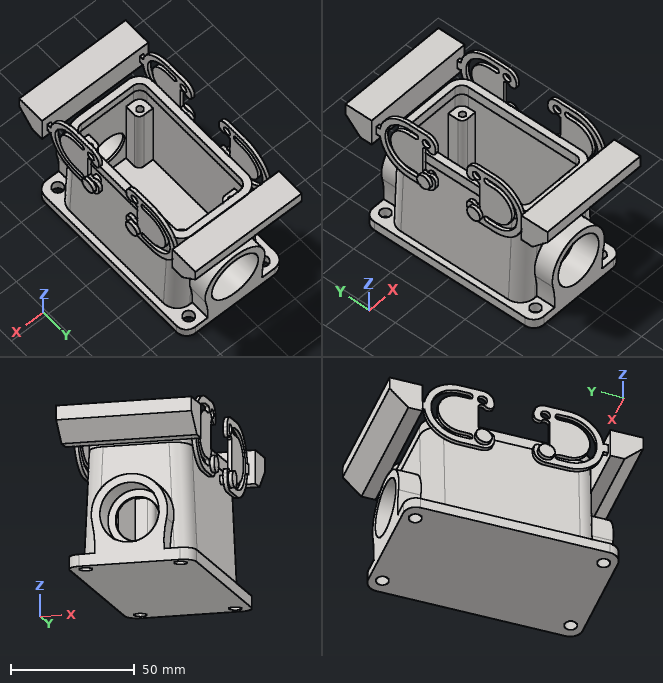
import cadquery as cq
import math

base_width = 53.4
base_length = 92.2
base_thickness = 5.0
base_corner_radius = 5.5
mount_hole_diameter = 5.2
mount_hole_x = 20.0
mount_hole_y = 40.4

box_foot_width = 47.3
rim_width = 42.8
box_length = 73.0
box_corner_radius = 7.5
wall_thickness = 3.6
rim_height = 56.8
collar_height = 5.2
collar_bottom = rim_height - collar_height
floor_height = base_thickness
cavity_width = rim_width - 2 * wall_thickness
cavity_length = box_length - 2 * wall_thickness
cavity_corner_radius = box_corner_radius - wall_thickness

post_top = 44.7
post_inner_x = 10.0
post_inner_y = 25.2
post_corner_radius = 2.7
post_hole_diameter = 3.2
post_hole_depth = 10.9
post_hole_x = 13.5
post_hole_y = 28.3

port_radius = 16.0
port_center_z = 21.1
port_flank_top = 17.7
port_foot_half_width = 14.6
port_bore_diameter = 24.9
port_bore_depth = 12.1
port_hole_diameter = 18.5

overall_length = 109.0
overall_height = 73.0
cheek_radius = 15.5
cheek_center_y = 23.1
cheek_center_z = overall_height - cheek_radius
cheek_inner_x = 23.9
cheek_thickness = 1.7
cheek_outer_x = cheek_inner_x + cheek_thickness
pivot_radius = 5.0
pivot_y = 13.5
pivot_offset_z = cheek_radius - pivot_radius
notch_edge_y = 15.3
notch_half_height = 6.6
lobe_radius = 2.1
lobe_drop = 1.7
dip_offset = 7.7
dip_end_y = 12.1
dip_end_offset = 7.1
slot_outer_radius = 12.4
slot_inner_radius = 9.6
slot_end_y = 17.8
slot_width = slot_outer_radius - slot_inner_radius
slot_mid_radius = (slot_outer_radius + slot_inner_radius) / 2

pin_diameter = 3.9
pin_head_diameter = 7.0
pin_head_thickness = 1.7
pin_root_x = rim_width / 2 - wall_thickness / 2

bar_width = 57.0
bar_depth = 14.2
bar_height = 14.1
bar_top = 65.5
bar_chamfer = 8.1
bar_inner_y = overall_length / 2 - bar_depth
tab_height = 4.4


def rounded_block(width, length, bottom, top, radius):
    """Upright block centred on the Z axis with rounded vertical edges."""
    block = cq.Workplane("XY", origin=(0, 0, bottom)).rect(width, length).extrude(top - bottom)
    return block.edges("|Z").fillet(radius)


def make_base():
    """Flange with a mounting hole in each corner."""
    base = rounded_block(base_width, base_length, 0, base_thickness, base_corner_radius)
    mount_holes = (
        cq.Workplane("XY")
        .rect(2 * mount_hole_x, 2 * mount_hole_y, forConstruction=True)
        .vertices()
        .circle(mount_hole_diameter / 2)
        .extrude(base_thickness)
    )
    return base.cut(mount_holes)


def make_tapered_box():
    """Solid box whose long sides lean inwards from the base up to the collar."""
    section = [
        (-box_foot_width / 2, base_thickness),
        (box_foot_width / 2, base_thickness),
        (rim_width / 2, collar_bottom),
        (-rim_width / 2, collar_bottom),
    ]
    box = cq.Workplane("XZ").polyline(section).close().extrude(box_length / 2, both=True)
    return box.faces("<X or >X").edges("not |Y").fillet(box_corner_radius)


def make_cavity():
    """Straight-walled hollow, from the floor up to the rim."""
    return rounded_block(cavity_width, cavity_length, floor_height, rim_height, cavity_corner_radius)


def make_post(side_x, side_y):
    """Screw post filling one cavity corner, with a blind screw hole in its top."""
    size_x = cavity_width / 2 - post_inner_x
    size_y = cavity_length / 2 - post_inner_y
    center = (side_x * (post_inner_x + size_x / 2), side_y * (post_inner_y + size_y / 2), floor_height)
    inner_corner = cq.selectors.NearestToPointSelector(
        (side_x * post_inner_x, side_y * post_inner_y, (floor_height + post_top) / 2)
    )
    post = cq.Workplane("XY", origin=center).rect(size_x, size_y).extrude(post_top - floor_height)
    post = post.edges("|Z").edges(inner_corner).fillet(post_corner_radius)
    hole = (
        cq.Workplane("XY", origin=(side_x * post_hole_x, side_y * post_hole_y, post_top))
        .circle(post_hole_diameter / 2)
        .extrude(-post_hole_depth)
    )
    return post.intersect(make_cavity()).cut(hole)


def make_port_bosses():
    """Port bosses on both ends, as one bar along Y with flanks curving into the base flange."""
    drop = port_center_z - port_flank_top
    flank_half_width = math.sqrt(port_radius**2 - drop**2)
    diagonal = port_radius * math.sqrt(0.5)
    half = (
        cq.Workplane("XZ")
        .moveTo(0, base_thickness)
        .lineTo(0, port_center_z + port_radius)
        .threePointArc((diagonal, port_center_z + diagonal), (flank_half_width, port_flank_top))
        .tangentArcPoint((port_foot_half_width, base_thickness), relative=False)
        .close()
        .extrude(base_length / 2, both=True)
    )
    return half.union(half.mirror("YZ"))


def make_port_bore(end):
    """Blind bore into the port boss at the -Y (end=-1) or +Y (end=1) side."""
    return (
        cq.Workplane("XZ", origin=(0, end * base_length / 2, port_center_z))
        .circle(port_bore_diameter / 2)
        .extrude(end * port_bore_depth)
    )


def make_port_opening():
    """Hole that joins the -Y bore to the cavity."""
    return (
        cq.Workplane("XZ", origin=(0, -base_length / 2, port_center_z))
        .circle(port_hole_diameter / 2)
        .extrude(-(base_length - cavity_length))
    )


def cheek_profile():
    """Workplane for cheek outlines: local x is Y, local y is Z, extruding towards +X."""
    return cq.Workplane("YZ", origin=(cheek_inner_x, 0, 0))


def make_cheek_outline():
    """C-shaped cheek plate with a notch between two hooked arms, mirrored about its mid height."""
    diagonal = math.sqrt(0.5)
    top = overall_height
    back_y = cheek_center_y + cheek_radius * diagonal
    back_z = cheek_center_z + cheek_radius * diagonal
    pivot_z = cheek_center_z + pivot_offset_z
    cap_y = pivot_y - pivot_radius * diagonal
    cap_z = pivot_z + pivot_radius * diagonal
    tip_y = pivot_y - pivot_radius
    lobe_y = tip_y + lobe_radius
    lobe_z = pivot_z - lobe_drop
    lobe_mid = (lobe_y - lobe_radius * diagonal, lobe_z - lobe_radius * diagonal)
    upper_half = (
        cheek_profile()
        .moveTo(notch_edge_y, cheek_center_z)
        .lineTo(notch_edge_y, cheek_center_z + notch_half_height)
        .threePointArc(
            (pivot_y, cheek_center_z + dip_offset), (dip_end_y, cheek_center_z + dip_end_offset)
        )
        .tangentArcPoint((lobe_y, lobe_z - lobe_radius), relative=False)
        .threePointArc(lobe_mid, (tip_y, lobe_z))
        .lineTo(tip_y, pivot_z)
        .threePointArc((cap_y, cap_z), (pivot_y, top))
        .lineTo(cheek_center_y, top)
        .threePointArc((back_y, back_z), (cheek_center_y + cheek_radius, cheek_center_z))
        .close()
        .extrude(cheek_thickness)
    )
    lower_half = upper_half.mirror("XY", (0, 0, cheek_center_z))
    return upper_half.union(lower_half).clean()


def make_cheek_slot():
    """C-shaped slot of constant width with rounded ends, following the cheek's rim."""
    end_y = slot_end_y + slot_width / 2
    round_ends = (
        cheek_profile()
        .pushPoints([(end_y, cheek_center_z + side * slot_mid_radius) for side in (-1, 1)])
        .circle(slot_width / 2)
        .extrude(cheek_thickness)
    )
    channel = (
        cheek_profile()
        .moveTo(end_y, cheek_center_z + slot_outer_radius)
        .lineTo(cheek_center_y, cheek_center_z + slot_outer_radius)
        .threePointArc(
            (cheek_center_y + slot_outer_radius, cheek_center_z),
            (cheek_center_y, cheek_center_z - slot_outer_radius),
        )
        .lineTo(end_y, cheek_center_z - slot_outer_radius)
        .lineTo(end_y, cheek_center_z - slot_inner_radius)
        .lineTo(cheek_center_y, cheek_center_z - slot_inner_radius)
        .threePointArc(
            (cheek_center_y + slot_inner_radius, cheek_center_z),
            (cheek_center_y, cheek_center_z + slot_inner_radius),
        )
        .lineTo(end_y, cheek_center_z + slot_inner_radius)
        .close()
        .extrude(cheek_thickness)
    )
    return channel.union(round_ends)


def make_cheek():
    """Cheek plate on the +X side, with its latch hole and the tab that carries the grip bar."""
    tab_start_y = cheek_center_y + slot_outer_radius + (cheek_radius - slot_outer_radius) / 2
    latch_hole = (
        cheek_profile()
        .center(pivot_y, cheek_center_z + pivot_offset_z)
        .circle(pin_diameter / 2)
        .extrude(cheek_thickness)
    )
    tab = (
        cheek_profile()
        .center((tab_start_y + bar_inner_y) / 2, cheek_center_z)
        .rect(bar_inner_y - tab_start_y, tab_height)
        .extrude(cheek_thickness)
    )
    return make_cheek_outline().cut(make_cheek_slot()).cut(latch_hole).union(tab)


def make_pin():
    """Pivot pin on the +X side, rooted in the box wall and headed outside the cheek."""
    shank = (
        cq.Workplane("YZ", origin=(pin_root_x, pivot_y, cheek_center_z - pivot_offset_z))
        .circle(pin_diameter / 2)
        .extrude(cheek_outer_x - pin_root_x)
    )
    return shank.faces(">X").workplane().circle(pin_head_diameter / 2).extrude(pin_head_thickness)


def make_grip_bar():
    """Grip bar across the +Y end, with its lower outer edge chamfered."""
    bar = cq.Workplane("XY").box(bar_width, bar_depth, bar_height)
    bar = bar.edges(">Y and <Z").chamfer(bar_chamfer)
    return bar.translate((0, bar_inner_y + bar_depth / 2, bar_top - bar_height / 2))


def make_lever():
    """Locking lever on the +Y end: two cheeks on their pins, joined by the grip bar."""
    side = make_cheek().union(make_pin())
    return make_grip_bar().union(side).union(side.mirror("YZ"))


def make_housing():
    """Box on its flange, with posts, cable ports and the two levers fixed on by their pins."""
    housing = make_base().union(make_tapered_box()).union(make_port_bosses())
    housing = housing.cut(make_cavity())
    for end in (-1, 1):
        housing = housing.cut(make_port_bore(end))
    housing = housing.cut(make_port_opening())
    for side_x in (-1, 1):
        for side_y in (-1, 1):
            housing = housing.union(make_post(side_x, side_y))
    lever = make_lever()
    return housing.union(lever).union(lever.mirror("XZ"))


def make_collar():
    """Straight ring that forms the rim on top of the tapered box."""
    ring = rounded_block(rim_width, box_length, collar_bottom, rim_height, box_corner_radius)
    return ring.cut(make_cavity())


housing = make_housing()
collar = make_collar()

result = cq.Compound.makeCompound([housing.val(), collar.val()])